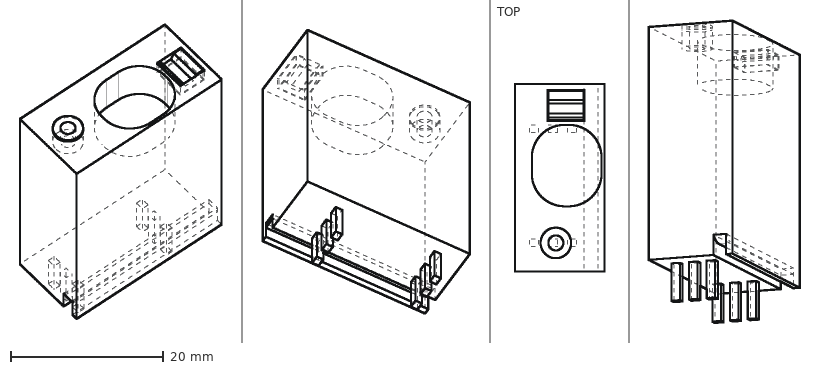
import cadquery as cq
import math

WIDTH = 11.8
LENGTH = 24.7
TOTAL_HEIGHT = 36.6
PIN_LENGTH = 5.0
SLEEVE_PROUD = 0.33
HOUSING_TOP = TOTAL_HEIGHT - SLEEVE_PROUD

PIN_WIDTH = 1.2
PIN_THICKNESS = 1.0
PIN_PITCH = 2.5
PIN_MIDDLE_X = -0.88
FRONT_ROW_Y = -8.55
ROW_SPACING = 15.0

WELL_X = 0.9
WELL_Y = 1.6
WELL_WIDTH = 9.2
WELL_LENGTH = 10.72
WELL_CORNER_RADIUS = 4.32
WELL_DEPTH = 6.0

SLEEVE_X = -0.5
SLEEVE_OUTER_RADIUS = 2.0
SLEEVE_BORE_RADIUS = 1.0
SLEEVE_LENGTH = 2.93

WINDOW_X = 0.85
WINDOW_Y = 9.5
WINDOW_WIDTH = 4.85
WINDOW_LENGTH = 4.1
WINDOW_DEPTH = 2.0
SLIDER_GAP = 0.128
SLIDER_WIDTH = WINDOW_WIDTH - 2 * SLIDER_GAP
SLIDER_LENGTH = WINDOW_LENGTH - 2 * SLIDER_GAP
TROUGH_DEPTH = 0.9
TROUGH_FLOOR = 1.3
TROUGH_SLOPE = 0.48
FRONT_LAND = 0.35

SLOT_LEFT = 3.22
SLOT_RIGHT = 5.0
SLOT_HEIGHT = 2.7
STRIP_THICKNESS = 0.85
NOSE_RADIUS = 2.93


def box_between(x0, x1, y0, y1, z0, z1):
    """Box given by its limits along each axis."""
    corner_at_origin = cq.Workplane("XY").box(x1 - x0, y1 - y0, z1 - z0, centered=False)
    return corner_at_origin.translate((x0, y0, z0))


def make_pins():
    """The pins, reaching from Z = 0 up to the underside of the housing."""
    pin_centres = []
    for row in range(2):
        for column in (-1, 0, 1):
            pin_centres.append((PIN_MIDDLE_X + column * PIN_PITCH, FRONT_ROW_Y + row * ROW_SPACING))
    pins = cq.Workplane("XY").pushPoints(pin_centres)
    return pins.rect(PIN_WIDTH, PIN_THICKNESS).extrude(PIN_LENGTH)


def make_well():
    """Cutter for the blind round-cornered well."""
    top = cq.Workplane("XY", origin=(WELL_X, WELL_Y, HOUSING_TOP))
    block = top.rect(WELL_WIDTH, WELL_LENGTH).extrude(-WELL_DEPTH)
    return block.edges("|Z").fillet(WELL_CORNER_RADIUS)


def make_window():
    """Cutter for the rectangular window."""
    top = cq.Workplane("XY", origin=(WINDOW_X, WINDOW_Y, HOUSING_TOP))
    return top.rect(WINDOW_WIDTH, WINDOW_LENGTH).extrude(-WINDOW_DEPTH)


def make_sleeve_seat():
    """Cutter for the blind recess that holds the sleeve."""
    top = cq.Workplane("XY", origin=(SLEEVE_X, FRONT_ROW_Y, TOTAL_HEIGHT))
    return top.circle(SLEEVE_OUTER_RADIUS).extrude(-SLEEVE_LENGTH)


def make_slot():
    """Cutter for the slot that runs the whole length of the underside."""
    roof = PIN_LENGTH + SLOT_HEIGHT
    return box_between(SLOT_LEFT, SLOT_RIGHT, -LENGTH / 2, LENGTH / 2, PIN_LENGTH, roof)


def make_housing():
    """Housing block with its pins, openings and slot."""
    block = box_between(-WIDTH / 2, WIDTH / 2, -LENGTH / 2, LENGTH / 2, PIN_LENGTH, HOUSING_TOP)
    housing = block.union(make_pins())
    for cutter in (make_well(), make_window(), make_sleeve_seat(), make_slot()):
        housing = housing.cut(cutter)
    return housing


def make_sleeve():
    """Tube that fills its seat and stands slightly proud of the top."""
    bottom = cq.Workplane("XY", origin=(SLEEVE_X, FRONT_ROW_Y, TOTAL_HEIGHT - SLEEVE_LENGTH))
    return bottom.circle(SLEEVE_OUTER_RADIUS).circle(SLEEVE_BORE_RADIUS).extrude(SLEEVE_LENGTH)


def make_slider():
    """Slider resting on the window floor, with a trough across its top."""
    front = WINDOW_Y - SLIDER_LENGTH / 2
    back = WINDOW_Y + SLIDER_LENGTH / 2
    crest = front + FRONT_LAND
    floor_front = crest + TROUGH_SLOPE
    floor_back = floor_front + TROUGH_FLOOR
    bottom = HOUSING_TOP - WINDOW_DEPTH
    side = cq.Workplane("YZ", origin=(WINDOW_X - SLIDER_WIDTH / 2, 0, 0)).polyline([
        (front, bottom),
        (front, HOUSING_TOP),
        (crest, HOUSING_TOP),
        (floor_front, HOUSING_TOP - TROUGH_DEPTH),
        (floor_back, HOUSING_TOP - TROUGH_DEPTH),
        (floor_back + TROUGH_SLOPE, HOUSING_TOP),
        (back, HOUSING_TOP),
        (back, bottom),
    ])
    return side.close().extrude(SLIDER_WIDTH)


def make_strip():
    """Strip along the slot roof; its nose curves down from the front edge until it is level."""
    front = -LENGTH / 2
    back = LENGTH / 2
    top = PIN_LENGTH + SLOT_HEIGHT
    bottom = top - STRIP_THICKNESS
    nose_centre_z = bottom + NOSE_RADIUS
    nose_length = math.sqrt(NOSE_RADIUS**2 - (nose_centre_z - top) ** 2)
    nose_centre_y = front + nose_length
    half_angle = math.asin(nose_length / NOSE_RADIUS) / 2
    nose_middle = (
        nose_centre_y - NOSE_RADIUS * math.sin(half_angle),
        nose_centre_z - NOSE_RADIUS * math.cos(half_angle),
    )
    side = cq.Workplane("YZ", origin=(SLOT_LEFT, 0, 0)).moveTo(front, top)
    side = side.threePointArc(nose_middle, (nose_centre_y, bottom))
    side = side.lineTo(back, bottom).lineTo(back, top).close()
    return side.extrude(SLOT_RIGHT - SLOT_LEFT)


housing = make_housing()
sleeve = make_sleeve()
slider = make_slider()
strip = make_strip()

result = cq.Compound.makeCompound([housing.val(), sleeve.val(), slider.val(), strip.val()])